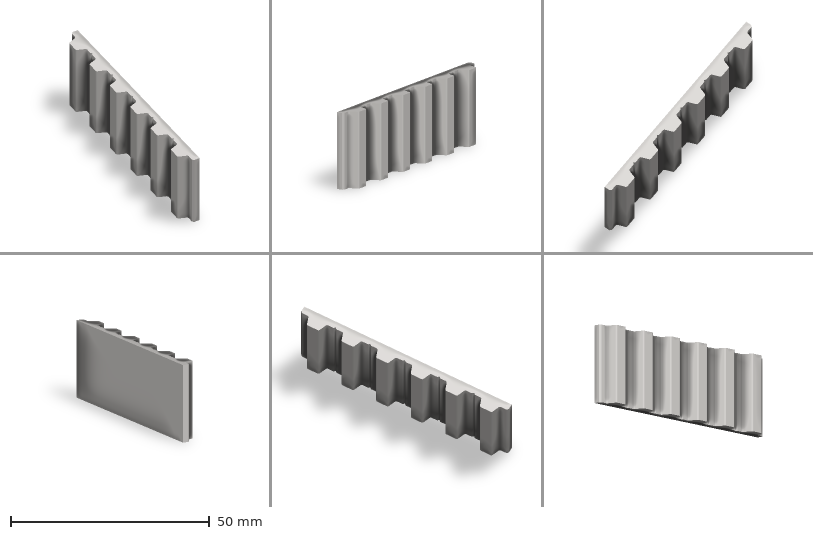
import cadquery as cq
import math

length = 60.0
width = 20.0
total_thickness = 4.5
tooth_count = 6
pitch = length / tooth_count

tooth_height = 2.5
tooth_root_width = 5.3
flank_angle = 20.0
tooth_radius = 0.5
flank_run = tooth_height * math.tan(math.radians(flank_angle))
tooth_tip_width = tooth_root_width - 2 * flank_run

notch_half_width = 0.4
notch_depth = 0.4

back_y = total_thickness / 2
tip_y = -total_thickness / 2
root_y = tip_y + tooth_height
band_thickness = total_thickness - tooth_height


def make_band():
    """Flat backing of the belt."""
    return cq.Workplane("XY").box(length, band_thickness, width).translate(
        (0, back_y - band_thickness / 2, 0)
    )


def cut_notch(belt, x):
    """Cut one V notch into the root face, centred at x."""
    notch = (
        cq.Workplane("XY", origin=(x, root_y, -width / 2))
        .moveTo(-notch_half_width, 0)
        .lineTo(notch_half_width, 0)
        .lineTo(0, notch_depth)
        .close()
        .extrude(width)
    )
    return belt.cut(notch)


def add_tooth(belt, x):
    """Join one trapezoidal tooth to the root face, centred at x."""
    tooth = (
        cq.Workplane("XY", origin=(x, root_y, -width / 2))
        .moveTo(-tooth_root_width / 2, 0)
        .lineTo(-tooth_tip_width / 2, -tooth_height)
        .lineTo(tooth_tip_width / 2, -tooth_height)
        .lineTo(tooth_root_width / 2, 0)
        .close()
        .extrude(width)
    )
    return belt.union(tooth)


def round_tooth(belt, x):
    """Round the root and tip edges of the tooth centred at x."""
    margin = tooth_radius / 4
    reach = tooth_root_width / 2 + margin
    tooth_edges = cq.selectors.BoxSelector(
        (x - reach, tip_y - margin, -width),
        (x + reach, root_y + margin, width),
    )
    return belt.edges("|Z").edges(tooth_edges).fillet(tooth_radius)


result = make_band()
for index in range(tooth_count + 1):
    result = cut_notch(result, index * pitch - length / 2)
for index in range(tooth_count):
    tooth_x = (index + 0.5) * pitch - length / 2
    result = add_tooth(result, tooth_x)
    result = round_tooth(result, tooth_x)